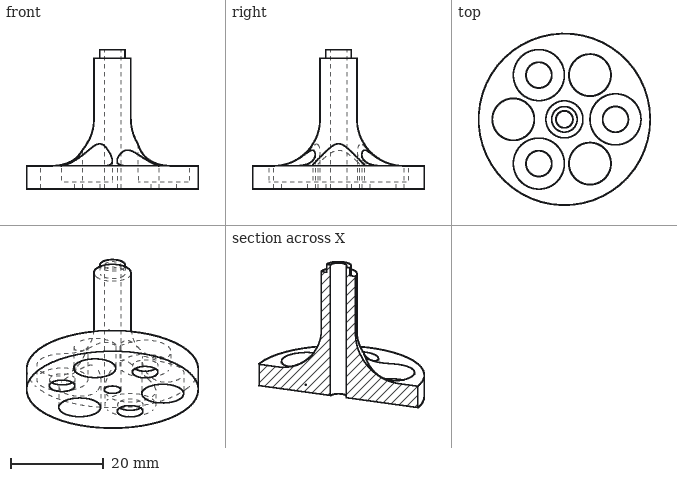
import cadquery as cq

disc_diameter = 37.0
disc_thickness = 5.0

shaft_diameter = 8.0
tip_diameter = 5.5
tip_height = 1.8
overall_height = 30.0
bore_diameter = 3.6

flare_radius = 10.0

hole_circle_radius = 11.0
hole_count_per_kind = 3
plain_hole_diameter = 9.0
screw_hole_diameter = 5.5
counterbore_diameter = 11.0
counterbore_floor_z = 1.6
first_plain_hole_angle = 60.0
first_screw_hole_angle = 0.0

shaft_radius = shaft_diameter / 2
shoulder_z = overall_height - tip_height
flare_top_z = disc_thickness + flare_radius
flare_base_radius = shaft_radius + flare_radius


def revolved_body():
    """Disc, flare, shaft and tip as one profile turned about Z."""
    arc_reach = flare_radius * (1 - 0.5 ** 0.5)
    arc_middle = (shaft_radius + arc_reach, disc_thickness + arc_reach)
    profile = (
        cq.Workplane("XZ")
        .moveTo(0, 0)
        .lineTo(disc_diameter / 2, 0)
        .lineTo(disc_diameter / 2, disc_thickness)
        .lineTo(flare_base_radius, disc_thickness)
        .threePointArc(arc_middle, (shaft_radius, flare_top_z))
        .lineTo(shaft_radius, shoulder_z)
        .lineTo(tip_diameter / 2, shoulder_z)
        .lineTo(tip_diameter / 2, overall_height)
        .lineTo(0, overall_height)
        .close()
    )
    return profile.revolve(360, (0, 0, 0), (0, 1, 0))


def hole_ring(diameter, floor_z, first_angle):
    """Evenly spaced vertical cutters from floor_z up past the top of the flare."""
    return (
        cq.Workplane("XY")
        .workplane(offset=floor_z)
        .polarArray(hole_circle_radius, first_angle, 360, hole_count_per_kind)
        .circle(diameter / 2)
        .extrude(overall_height - floor_z)
    )


def central_bore():
    """Cutter for the bore through the full height of the spindle."""
    return cq.Workplane("XY").circle(bore_diameter / 2).extrude(overall_height)


result = (
    revolved_body()
    .cut(central_bore())
    .cut(hole_ring(plain_hole_diameter, 0, first_plain_hole_angle))
    .cut(hole_ring(screw_hole_diameter, 0, first_screw_hole_angle))
    .cut(hole_ring(counterbore_diameter, counterbore_floor_z, first_screw_hole_angle))
)